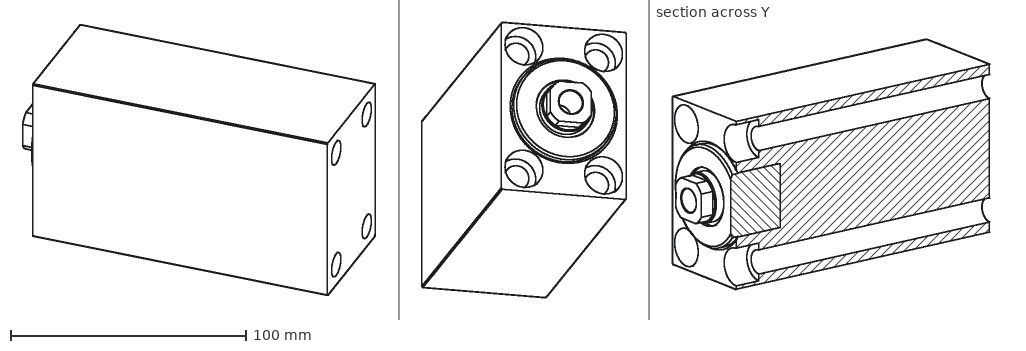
import cadquery as cq
import math

TOTAL_LENGTH = 147.0
HOUSING_WIDTH = 55.0
HOUSING_HEIGHT = 75.0
HOUSING_EDGE_CHAMFER = 0.5

SCREW_PITCH_Y = 35.0
SCREW_PITCH_Z = 55.0
SCREW_HOLE_DIAMETER = 10.6
COUNTERBORE_DIAMETER = 16.6
COUNTERBORE_DEPTH = 12.0

GLAND_DIAMETER = 45.0
GLAND_PROTRUSION = 3.0
GLAND_SEAT_DEPTH = 23.5
GLAND_CHAMFER = 1.0
SEAT_COUNTERSINK = 1.0
WIPER_RECESS_DIAMETER = 25.6
WIPER_RECESS_DEPTH = 1.5

ROD_DIAMETER = 22.0
ROD_SHOULDER_PROTRUSION = 3.1
ROD_CHAMFER = 0.5
SQUARE_LENGTH = 6.0
SQUARE_ACROSS_FLATS = 18.0
SQUARE_CORNER_DIAMETER = 20.7
TAP_HOLE_DIAMETER = 10.3
TAP_HOLE_DEPTH = 20.0
TAP_HOLE_CHAMFER = 0.3
DRILL_POINT_ANGLE = 118.0

GLAND_FRONT = -GLAND_PROTRUSION
SHOULDER_FRONT = GLAND_FRONT - ROD_SHOULDER_PROTRUSION
ROD_TIP = SHOULDER_FRONT - SQUARE_LENGTH
HOUSING_LENGTH = TOTAL_LENGTH + ROD_TIP


def cylinder(diameter, start, end):
    """Solid cylinder on the X axis from start to end."""
    return cq.Workplane("YZ", origin=(start, 0, 0)).circle(diameter / 2).extrude(end - start)


def revolve_about_x(points):
    """Solid of revolution about the X axis from (x, radius) points."""
    return cq.Workplane("XY").polyline(points).close().revolve(360, (0, 0), (1, 0))


def countersink(diameter, size, start):
    """45 degree cutting cone that widens a bore by size per side at start."""
    radius = diameter / 2
    return revolve_about_x(
        [(start, 0), (start, radius + size), (start + size, radius), (start + size, 0)]
    )


def make_housing():
    """Rectangular block with a countersunk gland seat and four counterbored through holes."""
    block = (
        cq.Workplane("YZ")
        .rect(HOUSING_WIDTH, HOUSING_HEIGHT)
        .extrude(HOUSING_LENGTH)
        .edges("|X")
        .chamfer(HOUSING_EDGE_CHAMFER)
    )
    block = block.cut(cylinder(GLAND_DIAMETER, 0, GLAND_SEAT_DEPTH))
    block = block.cut(countersink(GLAND_DIAMETER, SEAT_COUNTERSINK, 0))

    screw_hole = cylinder(SCREW_HOLE_DIAMETER, 0, HOUSING_LENGTH)
    screw_hole = screw_hole.union(cylinder(COUNTERBORE_DIAMETER, 0, COUNTERBORE_DEPTH))
    for side_y in (-1, 1):
        for side_z in (-1, 1):
            offset = (0, side_y * SCREW_PITCH_Y / 2, side_z * SCREW_PITCH_Z / 2)
            block = block.cut(screw_hole.translate(offset))
    return block


def make_gland():
    """Round cap with a chamfered front rim, a rod bore and a shallow recess around the rod."""
    gland = cylinder(GLAND_DIAMETER, GLAND_FRONT, GLAND_SEAT_DEPTH).faces("<X").chamfer(GLAND_CHAMFER)
    gland = gland.cut(cylinder(ROD_DIAMETER, GLAND_FRONT, GLAND_SEAT_DEPTH))
    recess_floor = GLAND_FRONT + WIPER_RECESS_DEPTH
    return gland.cut(cylinder(WIPER_RECESS_DIAMETER, GLAND_FRONT, recess_floor))


def make_tap_hole():
    """Cutting body of the blind rod hole: entry chamfer, bore and drill point."""
    radius = TAP_HOLE_DIAMETER / 2
    bore_end = ROD_TIP + TAP_HOLE_DEPTH
    point_length = radius / math.tan(math.radians(DRILL_POINT_ANGLE / 2))
    return revolve_about_x(
        [
            (ROD_TIP, 0),
            (ROD_TIP, radius + TAP_HOLE_CHAMFER),
            (ROD_TIP + TAP_HOLE_CHAMFER, radius),
            (bore_end, radius),
            (bore_end + point_length, 0),
        ]
    )


def make_rod():
    """Rod with a chamfered shoulder and a square end whose corners stay round."""
    shank = cylinder(ROD_DIAMETER, SHOULDER_FRONT, GLAND_SEAT_DEPTH).faces("<X").chamfer(ROD_CHAMFER)
    square_end = (
        cq.Workplane("YZ", origin=(ROD_TIP, 0, 0))
        .rect(SQUARE_ACROSS_FLATS, SQUARE_ACROSS_FLATS)
        .extrude(SQUARE_LENGTH)
        .intersect(cylinder(SQUARE_CORNER_DIAMETER, ROD_TIP, SHOULDER_FRONT))
    )
    return shank.union(square_end).cut(make_tap_hole())


housing = make_housing()
gland = make_gland()
rod = make_rod()

result = cq.Compound.makeCompound([housing.val(), gland.val(), rod.val()])